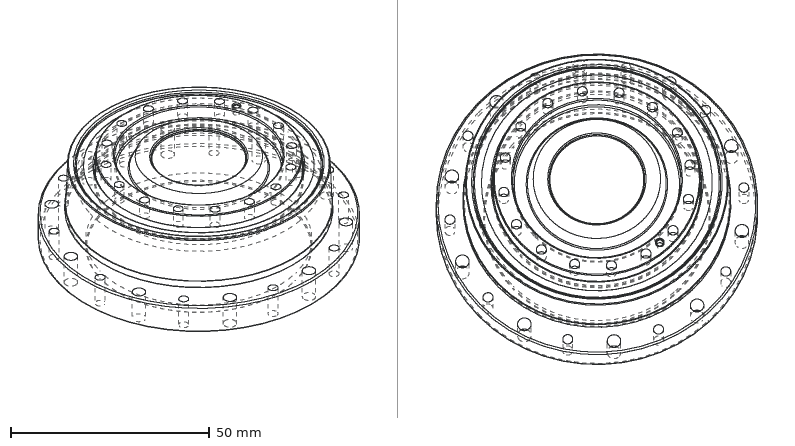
import cadquery as cq
import math

FLANGE_BOTTOM_Z = 2.5
FLANGE_TOP_Z = 10.5
HOUSING_TOP_Z = 26.0
SEAL_TOP_Z = 25.35
SEAL_BOTTOM_Z = 21.1
OUTPUT_TOP_Z = 28.5
CAVITY_FLOOR_Z = 19.4

FLANGE_R = 40.5
FLANGE_CHAMFER = 0.5
SPIGOT_R = 28.5
EDGE_CHAMFER = 0.25
NECK_R = 33.4
NECK_FILLET = 0.3
RIB_R = 33.8
RIB_BOTTOM_Z = 11.75
RIB_TOP_Z = 13.6
BARREL_BASE_R = 33.6
BARREL_TOP_R = 33.1
SEAL_BORE_R = 31.2
BORE_CHAMFER = 0.4

FLANGE_HOLE_COUNT = 10
FLANGE_HOLE_PITCH_R = 37.3
CLEARANCE_HOLE_DIA = 3.4
TAPPED_HOLE_DIA = 2.5

LIP_OUTER_R = 29.1
LIP_STEP = 0.1
LIP_INNER_R = 26.4
SEAL_CHAMFER = 0.3

OUTPUT_R = 26.1
WELL_R = 21.2
WELL_CHAMFER = 0.3
WELL_FLOOR_Z = 24.5
WELL_CORNER_CHAMFER = 0.4
HUB_BASE_R = 17.5
HUB_BASE_FLARE = 0.3
HUB_TOP_R = 16.0
HUB_TOP_Z = 28.1
DISH_R = 12.1
DISH_CHAMFER = 0.3
DISH_CORNER_CHAMFER = 0.25
DISH_FLOOR_Z = 27.45

OUTPUT_HOLE_COUNT = 16
OUTPUT_HOLE_PITCH_R = 23.7
OUTPUT_HOLE_DEPTH = 4.9
DRILL_POINT_ANGLE = 118.0
PLUG_PITCH_R = 23.4
PLUG_SEAT_DIA = 2.2
PLUG_SEAT_DEPTH = 0.5
PLUG_HOLE_DIA = 1.6
PLUG_HOLE_DEPTH = 2.4


def revolve_profile(profile):
    """Turn a closed (radius, height) profile around the Z axis."""
    return profile.close().revolve(360, (0, 0, 0), (0, 1, 0))


def circle_points(pitch_r, count, start_angle):
    """Points evenly spaced around the Z axis."""
    angles = [math.radians(start_angle + i * 360 / count) for i in range(count)]
    return [(pitch_r * math.cos(a), pitch_r * math.sin(a)) for a in angles]


def through_holes(points, dia):
    return cq.Workplane("XY").pushPoints(points).circle(dia / 2).extrude(FLANGE_TOP_Z)


def drilled_holes(points, dia, depth):
    """Blind holes with a drill-point bottom, sunk from the top of the output ring."""
    radius = dia / 2
    tip = radius / math.tan(math.radians(DRILL_POINT_ANGLE / 2))
    drill = revolve_profile(
        cq.Workplane("XZ").polyline([(0, 0), (radius, 0), (radius, -depth), (0, -depth - tip)])
    ).val()
    return cq.Workplane("XY").workplane(offset=OUTPUT_TOP_Z).pushPoints(points).eachpoint(
        lambda place: drill.located(place)
    )


def make_housing():
    chamfered_flange_r = FLANGE_R - FLANGE_CHAMFER
    rib_undercut = RIB_R - NECK_R
    arc_mid = NECK_FILLET * (1 - math.sqrt(0.5))
    profile = (
        cq.Workplane("XZ")
        .moveTo(0, 0)
        .lineTo(SPIGOT_R - EDGE_CHAMFER, 0)
        .lineTo(SPIGOT_R, EDGE_CHAMFER)
        .lineTo(SPIGOT_R, FLANGE_BOTTOM_Z)
        .lineTo(chamfered_flange_r, FLANGE_BOTTOM_Z)
        .lineTo(FLANGE_R, FLANGE_BOTTOM_Z + FLANGE_CHAMFER)
        .lineTo(FLANGE_R, FLANGE_TOP_Z - FLANGE_CHAMFER)
        .lineTo(chamfered_flange_r, FLANGE_TOP_Z)
        .lineTo(NECK_R + NECK_FILLET, FLANGE_TOP_Z)
        .threePointArc(
            (NECK_R + arc_mid, FLANGE_TOP_Z + arc_mid),
            (NECK_R, FLANGE_TOP_Z + NECK_FILLET),
        )
        .lineTo(NECK_R, RIB_BOTTOM_Z - rib_undercut)
        .lineTo(RIB_R, RIB_BOTTOM_Z)
        .lineTo(RIB_R, RIB_TOP_Z)
        .lineTo(BARREL_BASE_R, RIB_TOP_Z)
        .lineTo(BARREL_TOP_R, HOUSING_TOP_Z - EDGE_CHAMFER)
        .lineTo(BARREL_TOP_R - EDGE_CHAMFER, HOUSING_TOP_Z)
        .lineTo(SEAL_BORE_R + BORE_CHAMFER, HOUSING_TOP_Z)
        .lineTo(SEAL_BORE_R, HOUSING_TOP_Z - BORE_CHAMFER)
        .lineTo(SEAL_BORE_R, SEAL_BOTTOM_Z)
        .lineTo(OUTPUT_R, SEAL_BOTTOM_Z)
        .lineTo(OUTPUT_R, CAVITY_FLOOR_Z)
        .lineTo(0, CAVITY_FLOOR_Z)
    )
    hole_step = 360 / FLANGE_HOLE_COUNT
    tapped_points = circle_points(FLANGE_HOLE_PITCH_R, FLANGE_HOLE_COUNT, 0)
    clearance_points = circle_points(FLANGE_HOLE_PITCH_R, FLANGE_HOLE_COUNT, hole_step / 2)
    return (
        revolve_profile(profile)
        .cut(through_holes(tapped_points, TAPPED_HOLE_DIA))
        .cut(through_holes(clearance_points, CLEARANCE_HOLE_DIA))
    )


def make_seal():
    lip_top_z = SEAL_TOP_Z - LIP_STEP
    return revolve_profile(
        cq.Workplane("XZ").polyline([
            (LIP_INNER_R, SEAL_BOTTOM_Z),
            (SEAL_BORE_R, SEAL_BOTTOM_Z),
            (SEAL_BORE_R, SEAL_TOP_Z - SEAL_CHAMFER),
            (SEAL_BORE_R - SEAL_CHAMFER, SEAL_TOP_Z),
            (LIP_OUTER_R, SEAL_TOP_Z),
            (LIP_OUTER_R, lip_top_z),
            (LIP_INNER_R + SEAL_CHAMFER, lip_top_z),
            (LIP_INNER_R, lip_top_z - SEAL_CHAMFER),
        ])
    )


def make_output_flange():
    flange = revolve_profile(
        cq.Workplane("XZ").polyline([
            (0, CAVITY_FLOOR_Z),
            (OUTPUT_R, CAVITY_FLOOR_Z),
            (OUTPUT_R, OUTPUT_TOP_Z - EDGE_CHAMFER),
            (OUTPUT_R - EDGE_CHAMFER, OUTPUT_TOP_Z),
            (WELL_R + WELL_CHAMFER, OUTPUT_TOP_Z),
            (WELL_R, OUTPUT_TOP_Z - WELL_CHAMFER),
            (WELL_R, WELL_FLOOR_Z + WELL_CORNER_CHAMFER),
            (WELL_R - WELL_CORNER_CHAMFER, WELL_FLOOR_Z),
            (HUB_BASE_R + HUB_BASE_FLARE, WELL_FLOOR_Z),
            (HUB_BASE_R, WELL_FLOOR_Z + HUB_BASE_FLARE),
            (HUB_TOP_R, HUB_TOP_Z),
            (DISH_R + DISH_CHAMFER, HUB_TOP_Z),
            (DISH_R, HUB_TOP_Z - DISH_CHAMFER),
            (DISH_R, DISH_FLOOR_Z + DISH_CORNER_CHAMFER),
            (DISH_R - DISH_CORNER_CHAMFER, DISH_FLOOR_Z),
            (0, DISH_FLOOR_Z),
        ])
    )
    hole_step = 360 / OUTPUT_HOLE_COUNT
    hole_points = circle_points(OUTPUT_HOLE_PITCH_R, OUTPUT_HOLE_COUNT, hole_step / 2)
    plug_point = [(0, PLUG_PITCH_R)]
    plug_seat = (
        cq.Workplane("XY").workplane(offset=OUTPUT_TOP_Z)
        .pushPoints(plug_point).circle(PLUG_SEAT_DIA / 2).extrude(-PLUG_SEAT_DEPTH)
    )
    return (
        flange
        .cut(drilled_holes(hole_points, TAPPED_HOLE_DIA, OUTPUT_HOLE_DEPTH))
        .cut(drilled_holes(plug_point, PLUG_HOLE_DIA, PLUG_HOLE_DEPTH))
        .cut(plug_seat)
    )


housing = make_housing()
seal = make_seal()
output_flange = make_output_flange()

result = cq.Compound.makeCompound([housing.val(), seal.val(), output_flange.val()])